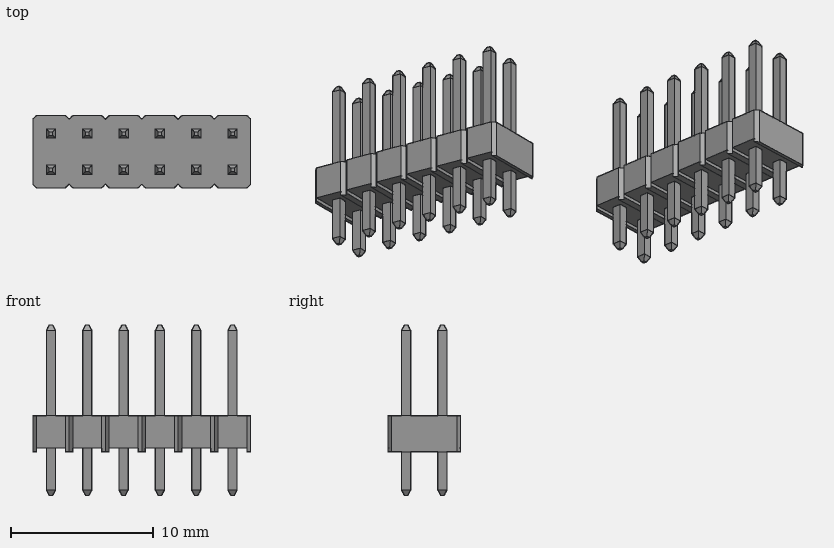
import cadquery as cq

length = 15.24
columns = 6
rows = 2
pitch = length / columns
width = rows * pitch
body_height = pitch
corner_chamfer = 0.26
standoff_height = 0.26

total_height = 11.93
pin_above_body = 6.34
pin_below_body = total_height - body_height - pin_above_body
pin_size = 0.65
tip_size = 0.25
tip_length = 0.4

channel_width = pitch - 2 * corner_chamfer
column_centers = [(i - (columns - 1) / 2) * pitch for i in range(columns)]
row_centers = [(j - (rows - 1) / 2) * pitch for j in range(rows)]
pin_centers = [(x, y) for x in column_centers for y in row_centers]


def make_body():
    """Chamfered column blocks side by side; V notches form where they meet."""
    body = cq.Workplane("XY")
    for x in column_centers:
        block = (
            cq.Workplane("XY")
            .center(x, 0)
            .rect(pitch, width)
            .extrude(body_height)
            .edges("|Z")
            .chamfer(corner_chamfer)
        )
        body = body.union(block)
    return body


def make_bottom_channels():
    """One channel per column, running through the body along Y."""
    return (
        cq.Workplane("XY")
        .pushPoints([(x, 0) for x in column_centers])
        .rect(channel_width, width)
        .extrude(standoff_height)
    )


def make_tip(base_z, end_z):
    """Tapered pin end from the full pin section to the small end square."""
    return (
        cq.Workplane("XY", origin=(0, 0, base_z))
        .rect(pin_size, pin_size)
        .workplane(offset=end_z - base_z)
        .rect(tip_size, tip_size)
        .loft(ruled=True)
    )


def make_pin():
    """Square pin with a tapered tip at both ends, centred on the Z axis."""
    bottom = -pin_below_body
    top = body_height + pin_above_body
    shaft_bottom = bottom + tip_length
    shaft_top = top - tip_length
    shaft = (
        cq.Workplane("XY", origin=(0, 0, shaft_bottom))
        .rect(pin_size, pin_size)
        .extrude(shaft_top - shaft_bottom)
    )
    return shaft.union(make_tip(shaft_bottom, bottom)).union(make_tip(shaft_top, top))


result = make_body().cut(make_bottom_channels())
pin = make_pin()
for x, y in pin_centers:
    result = result.union(pin.translate((x, y, 0)))